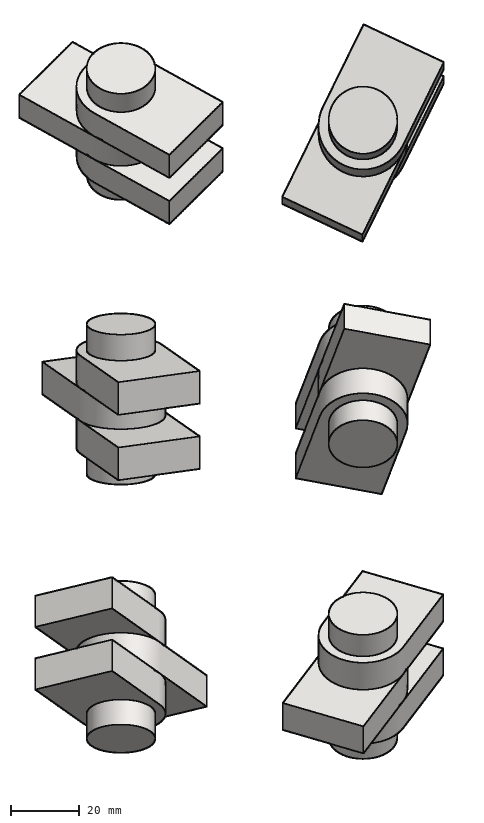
import cadquery as cq

plate_reach = 27.35
plate_width = 26.0
plate_thickness = 10.0
pin_diameter = 20.0
pin_overhang = 8.0

plate_count = 3
stack_height = plate_count * plate_thickness
pin_length = stack_height + 2 * pin_overhang


def make_pin():
    """Plain round pin through all the plates, centered on the stack."""
    return (
        cq.Workplane("XY", origin=(0, 0, -pin_length / 2))
        .circle(pin_diameter / 2)
        .extrude(pin_length)
    )


def make_link_plate(direction, center_z):
    """Plate rounded about the pin axis, reaching along +X (direction 1) or -X (direction -1)."""
    end_x = direction * plate_reach
    half_width = plate_width / 2
    return (
        cq.Workplane("XY", origin=(0, 0, center_z - plate_thickness / 2))
        .moveTo(0, half_width)
        .lineTo(end_x, half_width)
        .lineTo(end_x, -half_width)
        .lineTo(0, -half_width)
        .threePointArc((-direction * half_width, 0), (0, half_width))
        .close()
        .extrude(plate_thickness)
        .cut(make_pin())
    )


pin = make_pin()
middle_plate = make_link_plate(direction=-1, center_z=0)

outer_plates = []
for side in (-1, 1):
    outer_plates.append(make_link_plate(direction=1, center_z=side * plate_thickness))

result = cq.Compound.makeCompound(
    [pin.val(), middle_plate.val(), *[plate.val() for plate in outer_plates]]
)